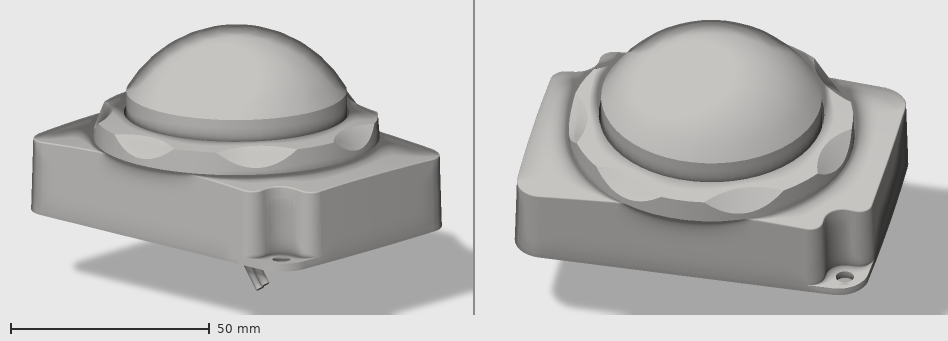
import cadquery as cq
import math

base_length = 91.5
base_width = 63.4
end_bow = 0.7
corner_radius = 7.7
wall_draft = 1.7
top_edge_radius = 0.4
flat_top_radius = 37.0
flat_top_z = 20.0
lid_fall = 1.2
lid_foot_radius = 49.4

screw_x = 39.8
screw_y = 26.4
screw_hole_diameter = 4.6
screw_flange_height = 2.0
notch_wall_radius = 4.8
notch_lip_radius = 4.0

dome_diameter = 55.55
dome_base_z = 33.1
dome_top_z = 49.2
neck_diameter = 61.95
neck_embed = 0.9

ring_diameter = 72.0
ring_bottom_z = 20.8
ring_rim_z = 21.05
ring_rim_inner_radius = 33.8
ring_shoulder_radius = 35.6
ring_shoulder_z = 26.7
ring_top_z = 27.6
ring_bore_diameter = 56.7

scallop_count = 7
scallop_radius = 33.9
scallop_inner_r = 31.2
scallop_inner_z = 27.3
scallop_outer_r = 35.9
scallop_outer_z = 22.8

gland_diameter = 18.5
gland_height = 2.5
gland_edge_radius = 1.65
wire_diameter = 2.2
wire_spacing = 2.3
wire_bend_start_z = -0.7
wire_bend_radius = 10.7
wire_bend_angle = math.radians(37)
wire_end_z = -17.7


def base_outline():
    """Rounded rectangle whose ends are shallow arcs, each split at its middle."""
    half_y = base_width / 2
    end_x = base_length / 2
    corner_x = end_x - end_bow
    bow_radius = (half_y**2 + end_bow**2) / (2 * end_bow)
    quarter_y = bow_radius * math.sin(math.asin(half_y / bow_radius) / 2)
    quarter_x = end_x - bow_radius + math.sqrt(bow_radius**2 - quarter_y**2)
    outline = cq.Sketch()
    for side in (-1, 1):
        outline = (
            outline
            .segment((-side * corner_x, side * half_y), (side * corner_x, side * half_y))
            .arc((side * corner_x, side * half_y), (side * quarter_x, side * quarter_y), (side * end_x, 0))
            .arc((side * end_x, 0), (side * quarter_x, -side * quarter_y), (side * corner_x, -side * half_y))
        )
    return outline.assemble().vertices("not (<X or >X)").fillet(corner_radius).reset()


def notched_outline():
    """Base outline with two opposite corners cut back around the screws."""
    outline = base_outline()
    block = 2 * corner_radius + 2 * notch_wall_radius
    inner_x = screw_x - notch_wall_radius
    inner_y = screw_y - notch_wall_radius
    for side in (-1, 1):
        block_centre = (side * (inner_x + block / 2), -side * (inner_y + block / 2))
        outline = outline.push([block_centre]).rect(block, block, mode="s").reset()
    for side in (-1, 1):
        inner_corner = (side * inner_x, -side * inner_y, 0)
        outline = outline.vertices(cq.selectors.NearestToPointSelector(inner_corner))
        outline = outline.fillet(notch_wall_radius).reset()
    for side in (-1, 1):
        lips = [
            (side * inner_x, -side * base_width / 2, 0),
            (side * base_length / 2, -side * inner_y, 0),
        ]
        for lip in lips:
            outline = outline.vertices(cq.selectors.NearestToPointSelector(lip))
            outline = outline.fillet(notch_lip_radius).reset()
    return outline


def make_lid_envelope():
    """Everything below the shallow cone of the lid, carried up to its apex."""
    slope = lid_fall / (lid_foot_radius - flat_top_radius)
    far_radius = base_length
    apex_z = flat_top_z + slope * flat_top_radius
    far_z = apex_z - slope * far_radius
    return (
        cq.Workplane("XZ")
        .moveTo(0, 0)
        .lineTo(far_radius, 0)
        .lineTo(far_radius, far_z)
        .lineTo(0, apex_z)
        .close()
        .revolve(360, (0, 0, 0), (0, 1, 0))
    )


def make_base():
    block_height = 2 * flat_top_z
    box = cq.Workplane("XY").placeSketch(notched_outline()).extrude(block_height, taper=wall_draft)
    box = box.intersect(make_lid_envelope())
    box = box.faces(">Z").edges().fillet(top_edge_radius)
    above_flat = cq.Workplane("XY").workplane(offset=flat_top_z).circle(base_length).extrude(base_length)
    box = box.cut(above_flat)
    flange = cq.Workplane("XY").placeSketch(base_outline()).extrude(screw_flange_height, taper=wall_draft)
    screw_holes = (
        cq.Workplane("XY")
        .pushPoints([(-screw_x, screw_y), (screw_x, -screw_y)])
        .circle(screw_hole_diameter / 2)
        .extrude(screw_flange_height)
    )
    return box.union(flange).cut(screw_holes)


def make_dome():
    """Neck, cylinder and spherical cap, turned about Z."""
    radius = dome_diameter / 2
    cap_height = dome_top_z - dome_base_z
    sphere_radius = (radius**2 + cap_height**2) / (2 * cap_height)
    half_angle = math.asin(radius / sphere_radius) / 2
    cap_middle = (
        sphere_radius * math.sin(half_angle),
        dome_top_z - sphere_radius * (1 - math.cos(half_angle)),
    )
    neck_foot_z = flat_top_z - neck_embed
    return (
        cq.Workplane("XZ")
        .moveTo(0, neck_foot_z)
        .lineTo(neck_diameter / 2, neck_foot_z)
        .lineTo(neck_diameter / 2, ring_bottom_z)
        .lineTo(radius, ring_bottom_z)
        .lineTo(radius, dome_base_z)
        .threePointArc(cap_middle, (0, dome_top_z))
        .close()
        .revolve(360, (0, 0, 0), (0, 1, 0))
    )


def make_gland():
    gland = cq.Workplane("XY").circle(gland_diameter / 2).extrude(-gland_height)
    return gland.faces("<Z").edges().fillet(gland_edge_radius)


def make_wire(offset):
    """Wire that leaves the base straight down, bends towards +X and runs on straight.

    The two wires run side by side, so their bends share one centre.
    """
    bend_radius = wire_bend_radius - offset

    def bend_point(angle):
        return (
            wire_bend_radius - bend_radius * math.cos(angle),
            wire_bend_start_z - bend_radius * math.sin(angle),
        )

    bend_end = bend_point(wire_bend_angle)
    half_pair = (wire_spacing + wire_diameter) / 2
    lowest_bend_z = wire_bend_start_z - (wire_bend_radius + half_pair) * math.sin(wire_bend_angle)
    straight = (lowest_bend_z - wire_end_z) / math.cos(wire_bend_angle)
    wire_end = (
        bend_end[0] + straight * math.sin(wire_bend_angle),
        bend_end[1] - straight * math.cos(wire_bend_angle),
    )
    path = (
        cq.Workplane("XZ")
        .moveTo(offset, 0)
        .lineTo(offset, wire_bend_start_z)
        .threePointArc(bend_point(wire_bend_angle / 2), bend_end)
        .lineTo(*wire_end)
    )
    return cq.Workplane("XY").center(offset, 0).circle(wire_diameter / 2).sweep(path)


def make_housing():
    housing = make_base().union(make_dome()).union(make_gland())
    for side in (-1, 1):
        housing = housing.union(make_wire(side * wire_spacing / 2))
    return housing


def make_scallop_cutter():
    """Tilted cylinder whose lowest line slopes outwards and down on the -Y side."""
    run = scallop_outer_r - scallop_inner_r
    drop = scallop_inner_z - scallop_outer_z
    slope_length = math.hypot(run, drop)
    along = cq.Vector(0, -run / slope_length, -drop / slope_length)
    upward = cq.Vector(0, -drop / slope_length, run / slope_length)
    inner_point = cq.Vector(0, -scallop_inner_r, scallop_inner_z)
    start = inner_point + upward * scallop_radius - along * slope_length
    return cq.Workplane(cq.Solid.makeCylinder(scallop_radius, 3 * slope_length, start, along))


def make_grip_ring():
    ring = (
        cq.Workplane("XZ")
        .moveTo(ring_bore_diameter / 2, ring_bottom_z)
        .lineTo(ring_rim_inner_radius, ring_bottom_z)
        .lineTo(ring_rim_inner_radius, ring_rim_z)
        .lineTo(ring_diameter / 2, ring_rim_z)
        .lineTo(ring_shoulder_radius, ring_shoulder_z)
        .lineTo(ring_bore_diameter / 2, ring_top_z)
        .close()
        .revolve(360, (0, 0, 0), (0, 1, 0))
    )
    cutter = make_scallop_cutter()
    for index in range(scallop_count):
        ring = ring.cut(cutter.rotate((0, 0, 0), (0, 0, 1), index * 360 / scallop_count))
    return ring


housing = make_housing()
grip_ring = make_grip_ring()
result = cq.Compound.makeCompound([housing.val(), grip_ring.val()])